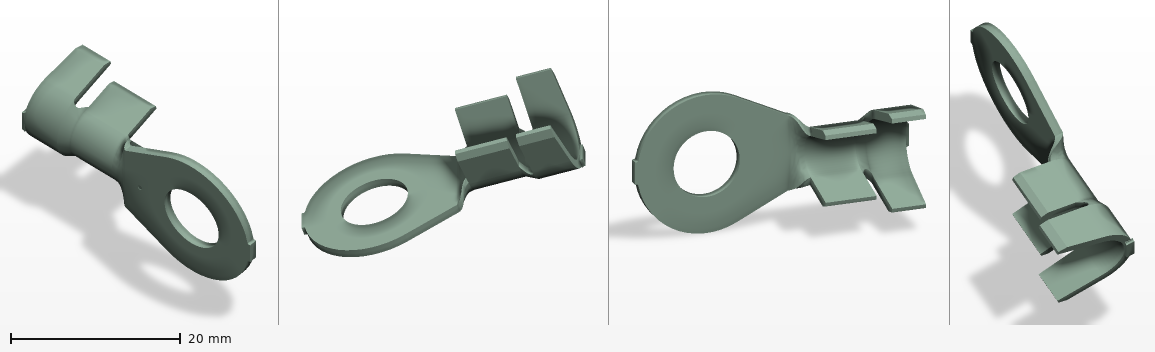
import cadquery as cq
import math

sheet = 1.07

ring_radius = 8.72
hole_radius = 4.15
neck_half_width = 4.75
tongue_start_x = -10.2
dimple_x = -7.93
dimple_radius = 0.33
dimple_depth = 0.07

overall_length = 34.6
front_tab_x = 9.0
rear_tab_x = front_tab_x - overall_length
tab_half_width = 1.42
front_tab_overlap = 0.7
tab_fillet = 0.17
rear_tab_overlap = 0.1

wing_lean = 15.0
wire_radius = 3.75
wire_floor = 0.0
wire_top = 8.25
wire_start_x = -18.7
wire_end_x = -12.3
insulation_radius = 5.02
insulation_floor = -0.52
insulation_top = 9.38
insulation_end_x = -20.2
rear_foot_x = -25.3
rear_top_x = -24.47

wire_bevel_length = 0.83
insulation_bevel_length = 1.05
tip_bevel_depth = sheet / 2

web_top = 4.15
web_dip_x = -19.73
web_dip = 2.3
web_rise_x = -19.28
web_rise = 2.53
web_insulation_side = 2.85
web_wire_side = 3.45

flare_half_angle = 78.0
flare_steps = 4


def cross_plane(x):
    """Plane across the terminal at x, with local axes (Z, Y)."""
    return cq.Plane(origin=(x, 0, 0), xDir=(0, 0, 1), normal=(-1, 0, 0))


def barrel_section(x, radius, floor, top, bevel_length):
    """U section of constant thickness whose inner wing corners reach the height top.

    The wing tips are cut square when bevel_length is zero.
    """
    lean = math.radians(wing_lean)
    centre = floor + radius
    inner = radius - sheet

    def wing_point(offset, along):
        z = offset * math.cos(lean) + along * math.sin(lean)
        y = centre - offset * math.sin(lean) + along * math.cos(lean)
        return z, y

    reach = (top - centre + inner * math.sin(lean)) / math.cos(lean)
    if bevel_length > 0:
        tip = [
            wing_point(radius, reach - bevel_length),
            wing_point(radius - tip_bevel_depth, reach),
            wing_point(inner, reach),
        ]
    else:
        tip = [wing_point(radius, reach), wing_point(inner, reach)]

    outer_root = wing_point(radius, 0)
    inner_root = wing_point(inner, 0)
    section = cq.Workplane(cross_plane(x)).moveTo(-outer_root[0], outer_root[1])
    section = section.threePointArc((0, floor), outer_root)
    for z, y in tip:
        section = section.lineTo(z, y)
    section = section.lineTo(*inner_root)
    section = section.threePointArc((0, floor + sheet), (-inner_root[0], inner_root[1]))
    for z, y in reversed(tip):
        section = section.lineTo(-z, y)
    return section.close()


def extrude_barrel(start_x, end_x, radius, floor, top, bevel_length):
    return barrel_section(end_x, radius, floor, top, bevel_length).extrude(end_x - start_x)


def make_insulation_barrel():
    barrel = extrude_barrel(
        rear_tab_x, insulation_end_x,
        insulation_radius, insulation_floor, insulation_top, insulation_bevel_length,
    )
    waste = (
        cq.Workplane("XY")
        .polyline([
            (rear_tab_x, insulation_floor),
            (rear_foot_x, insulation_floor),
            (rear_top_x, insulation_top),
            (rear_tab_x, insulation_top),
        ])
        .close()
        .extrude(2 * insulation_radius, both=True)
    )
    return barrel.cut(waste)


def make_rear_tab():
    """Cut-off tab on the barrel floor, widening through a small fillet where it meets the wall."""
    wall_x = rear_foot_x + rear_tab_overlap
    root_x = rear_foot_x - tab_fillet
    wide = tab_half_width + tab_fillet
    return (
        cq.Workplane("XZ", origin=(0, insulation_floor, 0))
        .moveTo(rear_tab_x, -tab_half_width)
        .lineTo(root_x, -tab_half_width)
        .radiusArc((rear_foot_x, -wide), tab_fillet)
        .lineTo(wall_x, -wide)
        .lineTo(wall_x, wide)
        .lineTo(rear_foot_x, wide)
        .radiusArc((root_x, tab_half_width), tab_fillet)
        .lineTo(rear_tab_x, tab_half_width)
        .close()
        .extrude(-sheet)
    )


def make_wire_barrel():
    return extrude_barrel(
        wire_start_x, wire_end_x,
        wire_radius, wire_floor, wire_top, wire_bevel_length,
    )


def make_web():
    rear = barrel_section(insulation_end_x, insulation_radius, insulation_floor, web_top, 0)
    front = barrel_section(wire_start_x, wire_radius, wire_floor, web_top, 0)
    web = cq.Workplane(obj=cq.Solid.makeLoft([rear.val(), front.val()], True))
    notch = (
        cq.Workplane("XY")
        .moveTo(insulation_end_x, web_insulation_side)
        .threePointArc((web_dip_x, web_dip), (web_rise_x, web_rise))
        .lineTo(wire_start_x, web_wire_side)
        .lineTo(wire_start_x, 2 * web_top)
        .lineTo(insulation_end_x, 2 * web_top)
        .close()
        .extrude(2 * insulation_radius, both=True)
    )
    return web.cut(notch)


def bent_strip(x, half_width, half_angle):
    """Strip section bent to an arc; half_width is measured along its lower face."""
    outer = half_width / half_angle
    inner = outer - sheet

    def arc_point(radius, angle):
        return radius * math.sin(angle), outer - radius * math.cos(angle)

    return (
        cq.Workplane(cross_plane(x))
        .moveTo(*arc_point(outer, -half_angle))
        .threePointArc((0, 0), arc_point(outer, half_angle))
        .lineTo(*arc_point(inner, half_angle))
        .threePointArc((0, sheet), arc_point(inner, -half_angle))
        .close()
        .val()
    )


def make_flare():
    full_angle = math.radians(flare_half_angle)
    full_width = wire_radius * full_angle
    sections = []
    for step in range(flare_steps):
        t = step / flare_steps
        bend = (1 + math.cos(math.pi * t)) / 2
        x = wire_end_x + t * (tongue_start_x - wire_end_x)
        width = neck_half_width + bend**3 * (full_width - neck_half_width)
        sections.append(bent_strip(x, width, bend * full_angle))
    flat = (
        cq.Workplane(cross_plane(tongue_start_x))
        .moveTo(-neck_half_width, 0)
        .lineTo(neck_half_width, 0)
        .lineTo(neck_half_width, sheet)
        .lineTo(-neck_half_width, sheet)
        .close()
        .val()
    )
    return cq.Workplane(obj=cq.Solid.makeLoft(sections + [flat], False))


def make_tongue():
    corner_distance = math.hypot(tongue_start_x, neck_half_width)
    corner_angle = math.atan2(neck_half_width, tongue_start_x)
    tangent_angle = corner_angle - math.acos(ring_radius / corner_distance)
    tangent_x = ring_radius * math.cos(tangent_angle)
    tangent_z = ring_radius * math.sin(tangent_angle)
    tongue = (
        cq.Workplane("XZ")
        .moveTo(tongue_start_x, -neck_half_width)
        .lineTo(tangent_x, -tangent_z)
        .threePointArc((ring_radius, 0), (tangent_x, tangent_z))
        .lineTo(tongue_start_x, neck_half_width)
        .close()
        .extrude(-sheet)
    )
    tab_length = front_tab_x - ring_radius + front_tab_overlap
    tab = (
        cq.Workplane("XZ")
        .center(front_tab_x - tab_length / 2, 0)
        .rect(tab_length, 2 * tab_half_width)
        .extrude(-sheet)
    )
    hole = cq.Workplane("XZ").circle(hole_radius).extrude(-sheet)
    dimple = cq.Workplane("XZ").center(dimple_x, 0).circle(dimple_radius).extrude(-dimple_depth)
    tabbed = tongue.union(tab)
    tab_corner_x = math.sqrt(ring_radius**2 - tab_half_width**2)
    tab_corners = cq.selectors.BoxSelector(
        (tab_corner_x - tab_fillet, 0, -2 * tab_half_width),
        (tab_corner_x + tab_fillet, sheet, 2 * tab_half_width),
    )
    tabbed = tabbed.edges("|Y").edges(tab_corners).fillet(tab_fillet)
    return tabbed.cut(hole).cut(dimple)


result = (
    make_insulation_barrel()
    .union(make_rear_tab())
    .union(make_web())
    .union(make_wire_barrel())
    .union(make_flare())
    .union(make_tongue())
)